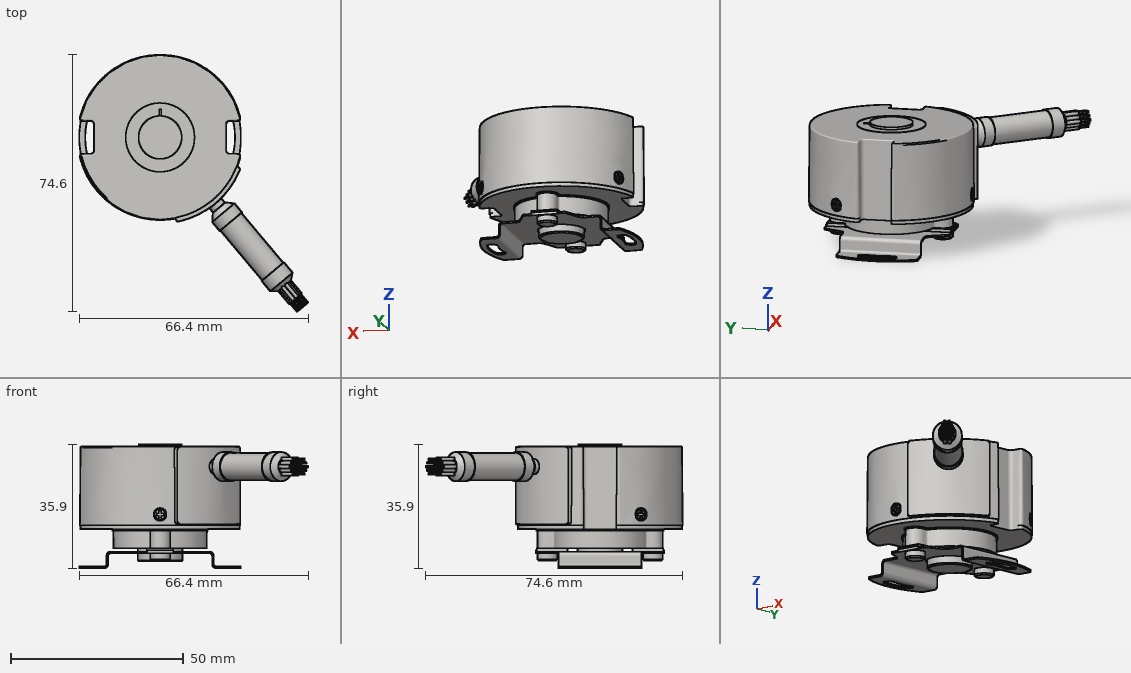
import cadquery as cq
import math


OVERLAP = 0.5
TOLERANCE = 1e-3

COLLAR_BOTTOM_Z = 1.95
HUB_BOTTOM_Z = 5.75
NECK_BOTTOM_Z = 10.9
BASE_BOTTOM_Z = 11.3
BODY_BOTTOM_Z = 12.4
BODY_TOP_Z = 35.3
SHAFT_TOP_Z = 35.92

BODY_RADIUS = 24.0
BASE_RADIUS = 23.8
BODY_DRAFT_ANGLE = 0.5
BODY_TOP_FILLET = 0.4
NOTCH_HALF_WIDTH = 4.7
NOTCH_FLOOR_X = 19.2
NOTCH_CORNER_RADIUS = 0.9
NOTCH_MOUTH_RADIUS = 0.9

SHAFT_RADIUS = 6.25
COLLAR_RADIUS = 6.55
COLLAR_CHAMFER = 0.4
TOP_RING_RADIUS = 10.0
TOP_RING_DEPTH = 0.1
MARK_END_RADIUS = 8.2
MARK_WIDTH = 0.6
MARK_DEPTH = 0.3

HUB_RADIUS = 13.6
LUG_RADIUS = 2.9
LUG_CENTER_Y = 15.3
LUG_ROOT_FILLET = 0.6
NECK_OFFSET = 0.3

SHEET = 0.5
BRACKET_HALF_WIDTH = 12.05
BRACKET_TOP_Z = 4.8
WEB_OUTER_X = 15.55
BEND_INNER_RADIUS = 0.7
FLANGE_END_X = 23.5
FLANGE_CORNER_X = 20.8
FLANGE_CORNER_RADIUS = 1.2
SLOT_PITCH_RADIUS = 20.1
SLOT_WIDTH = 3.2
SLOT_HALF_ANGLE = 12.0
EAR_END_Y = 18.6
EAR_ROOT_HALF_WIDTH = 9.3
EAR_END_HALF_WIDTH = 6.3
EAR_ROOT_FILLET = 2.0
EAR_CORNER_RADIUS = 0.8
COLLAR_CLEARANCE_RADIUS = 6.9

PAD_HALF_WIDTH = 3.85
PAD_INNER_Y = 9.4
PAD_STEP_Z = 5.2
SPACER_OUTER_Y = 18.35
SCREW_HEAD_BOTTOM_Z = 2.2
SCREW_HEAD_CHAMFER = 0.45

WALL_SCREW_Z = 15.6
WALL_SCREW_ANGLES = (30, 150, 270)
WALL_SCREW_HOLE_RADIUS = 1.85
WALL_SCREW_RADIUS = 1.55
WALL_SCREW_GAP_DEPTH = 0.5
CROSS_LENGTH = 2.0
CROSS_WIDTH = 0.7
CROSS_DEPTH = 0.6

CABLE_ANGLE = -50.0
CABLE_Z = 29.45
OUTLET_RADIUS = 25.0
OUTLET_HALF_WIDTH = 11.9
OUTLET_BOTTOM_Z = 12.8
OUTLET_TOP_Z = 35.15
OUTLET_CORNER_RADIUS = 0.8

NECK_RADIUS = 2.25
CONE_TIP_RADIUS = 2.43
COLLAR_END_RADIUS = 4.25
SLEEVE_RADIUS = 4.0
FRONT_CONE_START = 26.6
FRONT_COLLAR_START = 28.5
SLEEVE_START = 31.9
SLEEVE_END = 50.8
REAR_COLLAR_END = 54.75
REAR_CONE_END = 56.2

WIRE_PITCH = 1.23
WIRE_ROW_COUNTS = (2, 3, 4, 3, 2)
WIRE_INSULATION_RADIUS = 0.59
WIRE_CORE_RADIUS = 0.28
INSULATION_END = 61.1
CORE_END = 64.25


def cylinder(radius, bottom_z, top_z):
    return cq.Workplane("XY").workplane(offset=bottom_z).circle(radius).extrude(top_z - bottom_z)


def block(x_range, y_range, z_range):
    size = [high - low for low, high in (x_range, y_range, z_range)]
    corner = (x_range[0], y_range[0], z_range[0])
    return cq.Workplane("XY").box(*size, centered=False).translate(corner)


def notched_disc(radius, bottom_z, top_z, taper=0.0):
    """Round disc with a rounded notch at each end of the X axis."""
    mouth_x = math.sqrt(radius**2 - NOTCH_HALF_WIDTH**2)
    floor_x = NOTCH_FLOOR_X
    half = NOTCH_HALF_WIDTH
    outline = (
        cq.Workplane("XY")
        .workplane(offset=bottom_z)
        .moveTo(mouth_x, half)
        .threePointArc((0, radius), (-mouth_x, half))
        .lineTo(-floor_x, half)
        .lineTo(-floor_x, -half)
        .lineTo(-mouth_x, -half)
        .threePointArc((0, -radius), (mouth_x, -half))
        .lineTo(floor_x, -half)
        .lineTo(floor_x, half)
        .close()
        .wire()
        .val()
    )
    face = cq.Face.makeFromWires(outline)
    for corner_x, fillet in ((floor_x, NOTCH_CORNER_RADIUS), (mouth_x, NOTCH_MOUTH_RADIUS)):
        corners = [v for v in face.Vertices() if abs(abs(v.X) - corner_x) < TOLERANCE]
        face = face.fillet2D(fillet, corners)
    return cq.Workplane("XY").add(face.outerWire()).toPending().extrude(top_z - bottom_z, taper=taper)


def make_housing():
    base = notched_disc(BASE_RADIUS, BASE_BOTTOM_Z, BODY_BOTTOM_Z)
    body = notched_disc(BODY_RADIUS, BODY_BOTTOM_Z, BODY_TOP_Z, BODY_DRAFT_ANGLE)
    body = body.faces(">Z").edges().fillet(BODY_TOP_FILLET)
    return base.union(body)


def add_shaft(part):
    ring = cylinder(TOP_RING_RADIUS, BODY_TOP_Z - TOP_RING_DEPTH, BODY_TOP_Z)
    mark = block(
        (-MARK_WIDTH / 2, MARK_WIDTH / 2), (0, MARK_END_RADIUS), (BODY_TOP_Z - MARK_DEPTH, BODY_TOP_Z)
    )
    shaft = cylinder(SHAFT_RADIUS, BODY_TOP_Z - OVERLAP, SHAFT_TOP_Z)
    collar = cylinder(COLLAR_RADIUS, COLLAR_BOTTOM_Z, HUB_BOTTOM_Z + OVERLAP)
    collar = collar.faces("<Z").edges().chamfer(COLLAR_CHAMFER)
    return part.cut(ring).cut(mark).union(shaft).union(collar)


def hub_section(offset, bottom_z, top_z):
    """Round hub with a rounded lug at each end of the Y axis, grown outward by offset."""
    lug_radius = LUG_RADIUS + offset
    hub = cylinder(HUB_RADIUS + offset, bottom_z, top_z)
    lugs = (
        cq.Workplane("XY")
        .workplane(offset=bottom_z)
        .slot2D(2 * (LUG_CENTER_Y + lug_radius), 2 * lug_radius, 90)
        .extrude(top_z - bottom_z)
    )
    hub = hub.union(lugs)
    root_y = math.sqrt((HUB_RADIUS + offset) ** 2 - lug_radius**2)
    for x in (-lug_radius, lug_radius):
        for y in (-root_y, root_y):
            root = cq.NearestToPointSelector((x, y, (bottom_z + top_z) / 2))
            hub = hub.edges("|Z").edges(root).fillet(LUG_ROOT_FILLET)
    return hub


def make_hub():
    lower = hub_section(0, HUB_BOTTOM_Z, NECK_BOTTOM_Z)
    neck = hub_section(NECK_OFFSET, NECK_BOTTOM_Z, BASE_BOTTOM_Z)
    return lower.union(neck)


def make_bent_strip():
    """Hat-shaped strip running along X, with rounded ends and one arc slot per flange."""
    web_inner_x = WEB_OUTER_X - SHEET
    underside_z = BRACKET_TOP_Z - SHEET
    strip = (
        cq.Workplane("XZ")
        .moveTo(-FLANGE_END_X, 0)
        .lineTo(-web_inner_x, 0)
        .lineTo(-web_inner_x, underside_z)
        .lineTo(web_inner_x, underside_z)
        .lineTo(web_inner_x, 0)
        .lineTo(FLANGE_END_X, 0)
        .lineTo(FLANGE_END_X, SHEET)
        .lineTo(WEB_OUTER_X, SHEET)
        .lineTo(WEB_OUTER_X, BRACKET_TOP_Z)
        .lineTo(-WEB_OUTER_X, BRACKET_TOP_Z)
        .lineTo(-WEB_OUTER_X, SHEET)
        .lineTo(-FLANGE_END_X, SHEET)
        .close()
        .extrude(BRACKET_HALF_WIDTH, both=True)
    )
    bend_outer_radius = BEND_INNER_RADIUS + SHEET
    for side in (-1, 1):
        bends = (
            (WEB_OUTER_X, BRACKET_TOP_Z, bend_outer_radius),
            (web_inner_x, underside_z, BEND_INNER_RADIUS),
            (WEB_OUTER_X, SHEET, BEND_INNER_RADIUS),
            (web_inner_x, 0, bend_outer_radius),
        )
        for x, z, radius in bends:
            bend = cq.NearestToPointSelector((side * x, 0, z))
            strip = strip.edges("|Y").edges(bend).fillet(radius)
    plan = (
        cq.Workplane("XY")
        .moveTo(-FLANGE_CORNER_X, BRACKET_HALF_WIDTH)
        .lineTo(FLANGE_CORNER_X, BRACKET_HALF_WIDTH)
        .threePointArc((FLANGE_END_X, 0), (FLANGE_CORNER_X, -BRACKET_HALF_WIDTH))
        .lineTo(-FLANGE_CORNER_X, -BRACKET_HALF_WIDTH)
        .threePointArc((-FLANGE_END_X, 0), (-FLANGE_CORNER_X, BRACKET_HALF_WIDTH))
        .close()
        .extrude(BRACKET_TOP_Z)
        .edges("|Z")
        .fillet(FLANGE_CORNER_RADIUS)
    )
    strip = strip.intersect(plan)
    for direction in (0, 180):
        strip = strip.cut(arc_slot().rotate((0, 0, 0), (0, 0, 1), direction))
    return strip


def arc_slot():
    """Cutter for a round-ended slot that follows the flange pitch circle around +X."""
    half_width = SLOT_WIDTH / 2
    inner = SLOT_PITCH_RADIUS - half_width
    outer = SLOT_PITCH_RADIUS + half_width
    half_angle = math.radians(SLOT_HALF_ANGLE)
    cos_a, sin_a = math.cos(half_angle), math.sin(half_angle)
    tip_x = SLOT_PITCH_RADIUS * cos_a - half_width * sin_a
    tip_y = SLOT_PITCH_RADIUS * sin_a + half_width * cos_a
    return (
        cq.Workplane("XY")
        .moveTo(inner * cos_a, -inner * sin_a)
        .threePointArc((inner, 0), (inner * cos_a, inner * sin_a))
        .threePointArc((tip_x, tip_y), (outer * cos_a, outer * sin_a))
        .threePointArc((outer, 0), (outer * cos_a, -outer * sin_a))
        .threePointArc((tip_x, -tip_y), (inner * cos_a, -inner * sin_a))
        .close()
        .extrude(SHEET)
    )


def make_ear_plate():
    """Flat plate whose ears reach out along Y under the screw lugs."""
    flat_x = WEB_OUTER_X - SHEET - BEND_INNER_RADIUS
    quarter = [
        (flat_x, BRACKET_HALF_WIDTH),
        (EAR_ROOT_HALF_WIDTH, BRACKET_HALF_WIDTH),
        (EAR_END_HALF_WIDTH, EAR_END_Y),
    ]
    upper = quarter + [(-x, y) for x, y in reversed(quarter)]
    lower = [(-x, -y) for x, y in upper]
    plate = (
        cq.Workplane("XY")
        .workplane(offset=BRACKET_TOP_Z - SHEET)
        .polyline(upper + lower)
        .close()
        .extrude(SHEET)
    )
    for x_sign in (-1, 1):
        for y_sign in (-1, 1):
            for (x, y), radius in ((quarter[1], EAR_ROOT_FILLET), (quarter[2], EAR_CORNER_RADIUS)):
                corner = cq.NearestToPointSelector((x_sign * x, y_sign * y, BRACKET_TOP_Z))
                plate = plate.edges("|Z").edges(corner).fillet(radius)
    return plate


def make_bracket():
    bracket = make_bent_strip().union(make_ear_plate())
    bracket = bracket.cut(cylinder(COLLAR_CLEARANCE_RADIUS, 0, BRACKET_TOP_Z))
    pad_x = (-PAD_HALF_WIDTH, PAD_HALF_WIDTH)
    for angle in (0, 180):
        pad = block(pad_x, (PAD_INNER_Y, EAR_END_Y), (BRACKET_TOP_Z - SHEET, PAD_STEP_Z))
        spacer = block(pad_x, (PAD_INNER_Y, SPACER_OUTER_Y), (PAD_STEP_Z, HUB_BOTTOM_Z))
        head = cylinder(LUG_RADIUS, SCREW_HEAD_BOTTOM_Z, BRACKET_TOP_Z)
        head = head.faces("<Z").edges().chamfer(SCREW_HEAD_CHAMFER).translate((0, LUG_CENTER_Y, 0))
        mount = pad.union(spacer).union(head)
        bracket = bracket.union(mount.rotate((0, 0, 0), (0, 0, 1), angle))
    return bracket


def cut_wall_screws(part):
    """Ring gap and cross recess of each flush screw in the housing wall."""
    gap_floor = BODY_RADIUS - WALL_SCREW_GAP_DEPTH
    cross_floor = BODY_RADIUS - CROSS_DEPTH
    reach = 2 * OVERLAP
    gap = (
        cq.Workplane("YZ")
        .workplane(offset=gap_floor)
        .circle(WALL_SCREW_HOLE_RADIUS)
        .circle(WALL_SCREW_RADIUS)
        .extrude(reach)
    )
    cross = (
        cq.Workplane("YZ")
        .workplane(offset=cross_floor)
        .rect(CROSS_LENGTH, CROSS_WIDTH)
        .extrude(reach)
    )
    cross = cross.union(cross.rotate((0, 0, 0), (1, 0, 0), 90))
    cutter = gap.union(cross).translate((0, 0, WALL_SCREW_Z))
    for angle in WALL_SCREW_ANGLES:
        part = part.cut(cutter.rotate((0, 0, 0), (0, 0, 1), angle))
    return part


def make_outlet_pad():
    """Raised curved pad on the housing wall, centred on +X before it is turned."""
    height = OUTLET_TOP_Z - OUTLET_BOTTOM_Z
    ring = (
        cq.Workplane("XY")
        .workplane(offset=OUTLET_BOTTOM_Z)
        .circle(OUTLET_RADIUS)
        .circle(BODY_RADIUS - 2 * OVERLAP)
        .extrude(height)
    )
    face_block = (
        cq.Workplane("YZ")
        .center(0, OUTLET_BOTTOM_Z + height / 2)
        .rect(2 * OUTLET_HALF_WIDTH, height)
        .extrude(OUTLET_RADIUS)
        .edges("|X")
        .fillet(OUTLET_CORNER_RADIUS)
    )
    return ring.intersect(face_block)


def make_cable():
    """Cable along +X: neck, sleeve between two coned collars, and the wires."""
    profile = [
        (BODY_RADIUS - OVERLAP, 0),
        (BODY_RADIUS - OVERLAP, NECK_RADIUS),
        (FRONT_CONE_START, NECK_RADIUS),
        (FRONT_CONE_START, CONE_TIP_RADIUS),
        (FRONT_COLLAR_START, COLLAR_END_RADIUS),
        (SLEEVE_START, COLLAR_END_RADIUS),
        (SLEEVE_START, SLEEVE_RADIUS),
        (SLEEVE_END, SLEEVE_RADIUS),
        (SLEEVE_END, COLLAR_END_RADIUS),
        (REAR_COLLAR_END, COLLAR_END_RADIUS),
        (REAR_CONE_END, CONE_TIP_RADIUS),
        (REAR_CONE_END, 0),
    ]
    cable = cq.Workplane("XY").polyline(profile).close().revolve(360, (0, 0, 0), (1, 0, 0))
    row_height = WIRE_PITCH * math.sqrt(3) / 2
    middle_row = (len(WIRE_ROW_COUNTS) - 1) / 2
    centers = []
    for row, count in enumerate(WIRE_ROW_COUNTS):
        z = (row - middle_row) * row_height
        for column in range(count):
            y = (column - (count - 1) / 2) * WIRE_PITCH
            centers.append((y, z))
    wire_start = REAR_CONE_END - OVERLAP
    for radius, end in ((WIRE_INSULATION_RADIUS, INSULATION_END), (WIRE_CORE_RADIUS, CORE_END)):
        wires = (
            cq.Workplane("YZ")
            .workplane(offset=wire_start)
            .pushPoints(centers)
            .circle(radius)
            .extrude(end - wire_start)
        )
        cable = cable.union(wires)
    return cable.translate((0, 0, CABLE_Z))


def turn_to_cable(shape):
    return shape.rotate((0, 0, 0), (0, 0, 1), CABLE_ANGLE)


part = make_housing().union(make_hub())
part = add_shaft(part)
part = cut_wall_screws(part)
part = part.union(make_bracket())
part = part.union(turn_to_cable(make_outlet_pad()))
result = part.union(turn_to_cable(make_cable()))